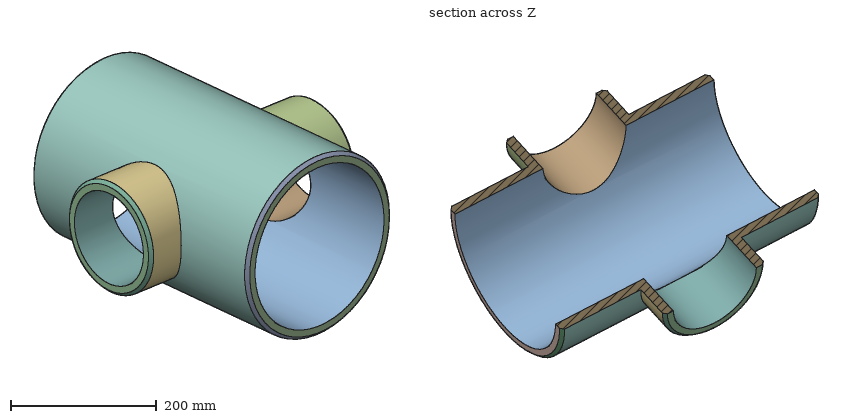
import cadquery as cq

run_length = 431.8
run_outer_diameter = 273.05

branch_span = 387.1
branch_outer_diameter = 168.275

wall = 15.09

bevel = 5.0


def centred_cylinder(plane, diameter, length):
    """Solid cylinder along the plane's normal, centred on the origin."""
    return cq.Workplane(plane).circle(diameter / 2).extrude(length / 2, both=True)


def bevelled_bar(plane, end_faces, diameter, length):
    """Centred cylinder with both end edges bevelled."""
    bar = centred_cylinder(plane, diameter, length)
    return bar.faces(end_faces).edges().chamfer(bevel)


run_body = bevelled_bar("YZ", "|X", run_outer_diameter, run_length)
branch_body = bevelled_bar("XZ", "|Y", branch_outer_diameter, branch_span)

run_bore = centred_cylinder("YZ", run_outer_diameter - 2 * wall, run_length)
branch_bore = centred_cylinder("XZ", branch_outer_diameter - 2 * wall, branch_span)

result = run_body.union(branch_body).cut(run_bore).cut(branch_bore)